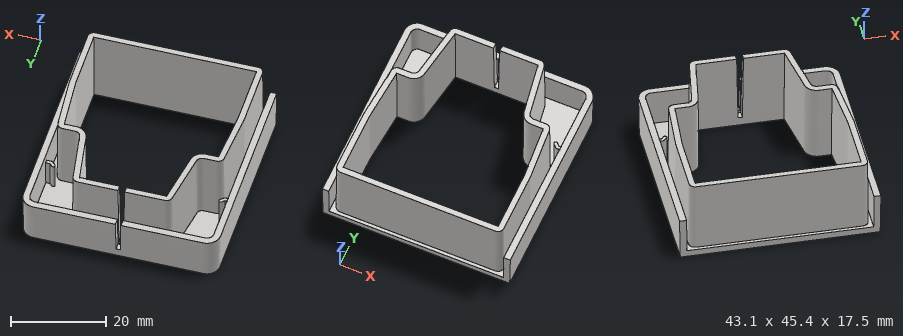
import cadquery as cq
import math

width = 43.1
depth = 45.35
tray_height = 9.6
wall = 1.5
floor_thickness = 1.55
corner_radius = 3.0
rim_height = 1.6
tray_draft = 1.0
inner_draft = 0.5

height = 17.5
ring_wall = 1.35
ring_draft = 0.5
throat_height = 2.0
body_half_width = 17.75
body_front = 2.25
body_taper_start = 15.85
shoulder_half_width = 16.8
shoulder_y = 27.8
neck_base_half_width = 11.75
neck_half_width = 9.5
neck_back = 41.6
shoulder_radius = 2.7

slot_bottom_width = 0.9
slot_top_width = 1.4

hook_thickness = 0.75
hook_top = 7.6
hook_y = 30.35
hook_bend_reach = 1.15
hook_tip_length = 0.95
hook_tip_angle = 45.0


def tray_prism(inset, radius, bottom, top, draft=None):
    """Block with rounded back corners and an upright front, narrowing downwards if drafted."""
    prism = (
        cq.Workplane("XY", origin=(0, 0, top))
        .sketch()
        .rect(width - 2 * inset, 2 * (depth - inset))
        .vertices()
        .fillet(radius)
        .finalize()
        .extrude(bottom - top, taper=draft)
    )
    back_half = cq.Workplane("XY").box(2 * width, 2 * depth, height, centered=(True, False, False))
    return prism.intersect(back_half)


def make_tray():
    rim_bottom = tray_height - rim_height
    inner_radius = corner_radius - wall
    tray = tray_prism(0, corner_radius, rim_bottom, tray_height)
    tray = tray.union(tray_prism(0, corner_radius, 0, rim_bottom, tray_draft))
    return tray.cut(tray_prism(wall, inner_radius, floor_thickness, tray_height, inner_draft))


def ring_opening(z):
    """Bottle-shaped wire with sharp outer corners and rounded shoulders."""
    right_side = [
        (body_half_width, body_front),
        (body_half_width, body_taper_start),
        (shoulder_half_width, shoulder_y),
        (neck_base_half_width, shoulder_y),
        (neck_half_width, neck_back),
    ]
    left_side = [(-x, y) for x, y in reversed(right_side)]
    corners = [cq.Vector(x, y, z) for x, y in right_side + left_side]
    outline = cq.Wire.makePolygon(corners, close=True)
    shoulders = [
        vertex for vertex in outline.Vertices()
        if abs(abs(vertex.X) - neck_base_half_width) < 0.005
    ]
    return outline.fillet2D(shoulder_radius, shoulders)


def make_ring_body():
    foot = floor_thickness / 2
    outline = ring_opening(height).offset2D(ring_wall, "arc")[0]
    return (
        cq.Workplane("XY", origin=(0, 0, height))
        .add(outline)
        .toPending()
        .extrude(foot - height, taper=-ring_draft)
    )


def make_ring_cavity():
    """Drafted space inside the ring with an upright opening through the floor."""
    drafted = (
        cq.Workplane("XY", origin=(0, 0, height))
        .add(ring_opening(height))
        .toPending()
        .extrude(throat_height - height, taper=ring_draft)
    )
    return drafted.union(drafted.faces("<Z").wires().toPending().extrude(-throat_height))


def make_slot():
    profile = [
        (-slot_bottom_width / 2, throat_height),
        (slot_bottom_width / 2, throat_height),
        (slot_top_width / 2, height),
        (-slot_top_width / 2, height),
    ]
    slot_front = neck_back - 2 * ring_wall
    return cq.Workplane("XZ", origin=(0, depth, 0)).polyline(profile).close().extrude(depth - slot_front)


def make_left_hook():
    wall_x = -width / 2 + wall
    bend_x = wall_x + hook_bend_reach
    foot = floor_thickness / 2
    hook_length = hook_top - foot
    base = cq.Workplane("XY", origin=(0, 0, foot))
    arm_start = wall_x - wall / 2
    arm_length = bend_x - arm_start
    arm = (
        base.center(arm_start + arm_length / 2, hook_y)
        .slot2D(arm_length + hook_thickness, hook_thickness)
        .extrude(hook_length)
    )
    angle = math.radians(hook_tip_angle)
    tip_x = bend_x + hook_tip_length / 2 * math.cos(angle)
    tip_y = hook_y + hook_tip_length / 2 * math.sin(angle)
    tip = (
        base.center(tip_x, tip_y)
        .slot2D(hook_tip_length + hook_thickness, hook_thickness, hook_tip_angle)
        .extrude(hook_length)
    )
    return arm.union(tip)


left_hook = make_left_hook()
result = make_tray().union(make_ring_body())
result = result.union(left_hook).union(left_hook.mirror("YZ"))
result = result.cut(make_ring_cavity()).cut(make_slot())